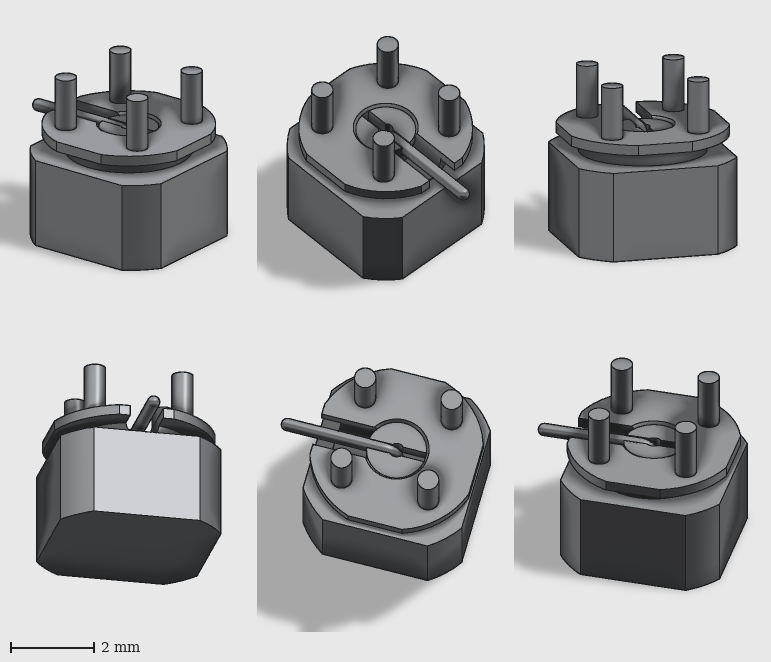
import cadquery as cq
import math

square_side = 3.96
body_height = 2.2
body_corner_radius = 2.37

neck_radius = 1.55
flange_bottom = 2.6
flange_top = 2.85
flange_radius = 2.09

overall_height = 4.14
mount_pin_diameter = 0.515
mount_pin_pitch = 2.16

opening_radius = 0.725
opening_rim_radius = 0.78
insulator_top = 2.785

step_top = 2.54
step_bottom = 2.5
insulator_foot_radius = 0.68

channel_width = 0.815
channel_floor = 2.225

insulator_slot_width = 0.235
insulator_slot_bottom = 2.44
insulator_bore_radius = 0.175

contact_radius = 0.15
contact_height = 2.665
contact_bend_radius = 0.365
contact_stem_x = 0.02
overall_length = 4.85
contact_tip = square_side / 2 - overall_length


def disc(radius, bottom, top):
    """Upright cylinder on the Z axis between two heights."""
    return cq.Workplane("XY").workplane(offset=bottom).circle(radius).extrude(top - bottom)


def rounded_square(corner_radius, bottom, top):
    """Disc trimmed by the square outline, leaving four flats."""
    height = top - bottom
    square = cq.Workplane("XY").workplane(offset=bottom).rect(square_side, square_side).extrude(height)
    return square.intersect(disc(corner_radius, bottom, top))


def housing():
    """Body, neck and flange joined."""
    body = rounded_square(body_corner_radius, 0, body_height)
    neck = disc(neck_radius, body_height, flange_bottom)
    flange = rounded_square(flange_radius, flange_bottom, flange_top)
    return body.union(neck).union(flange)


def opening_cone():
    """Conical recess between the insulator face and the flange face."""
    return (
        cq.Workplane("XY").workplane(offset=insulator_top).circle(opening_radius)
        .workplane(offset=flange_top - insulator_top).circle(opening_rim_radius)
        .loft(ruled=True)
    )


def insulator():
    """Turned insulator with a chamfered step down to a narrower foot."""
    return (
        cq.Workplane("XZ")
        .moveTo(0, body_height)
        .lineTo(insulator_foot_radius, body_height)
        .lineTo(insulator_foot_radius, step_bottom)
        .lineTo(opening_radius, step_top)
        .lineTo(opening_radius, insulator_top)
        .lineTo(0, insulator_top)
        .close()
        .revolve(360, (0, 0, 0), (0, 1, 0))
    )


def channel():
    """Round-bottomed channel running from outside the flange to the axis."""
    radius = channel_width / 2
    axis_height = channel_floor + radius
    return (
        cq.Workplane("YZ")
        .moveTo(-radius, flange_top)
        .lineTo(-radius, axis_height)
        .threePointArc((0, channel_floor), (radius, axis_height))
        .lineTo(radius, flange_top)
        .close()
        .extrude(-square_side / 2)
    )


def insulator_slot():
    """Straight slot across the full width of the insulator."""
    return (
        cq.Workplane("XY").workplane(offset=insulator_slot_bottom)
        .rect(2 * opening_radius, insulator_slot_width)
        .extrude(insulator_top - insulator_slot_bottom)
    )


def contact_pin():
    """Round-tipped pin that runs in the channel and bends down into the body near the axis."""
    tip_centre = contact_tip + contact_radius
    bend_end_height = contact_height - contact_bend_radius
    bend_offset = contact_bend_radius * (1 - math.cos(math.pi / 4))
    path = (
        cq.Workplane("XZ")
        .moveTo(tip_centre, contact_height)
        .lineTo(contact_stem_x - contact_bend_radius, contact_height)
        .threePointArc(
            (contact_stem_x - bend_offset, contact_height - bend_offset),
            (contact_stem_x, bend_end_height),
        )
        .lineTo(contact_stem_x, body_height)
    )
    section = cq.Workplane("YZ", origin=(tip_centre, 0, contact_height)).circle(contact_radius)
    tip = cq.Workplane("XY", origin=(tip_centre, 0, contact_height)).sphere(contact_radius)
    return section.sweep(path).union(tip)


def mounting_pins():
    """Four round pins on a square pitch, standing on the flange."""
    return (
        cq.Workplane("XY").workplane(offset=flange_top)
        .rect(mount_pin_pitch, mount_pin_pitch, forConstruction=True).vertices()
        .circle(mount_pin_diameter / 2).extrude(overall_height - flange_top)
    )


bore = disc(insulator_bore_radius, insulator_slot_bottom, insulator_top)

result = (
    housing()
    .cut(opening_cone())
    .cut(channel())
    .union(insulator())
    .cut(insulator_slot())
    .cut(bore)
    .union(contact_pin())
    .union(mounting_pins())
)